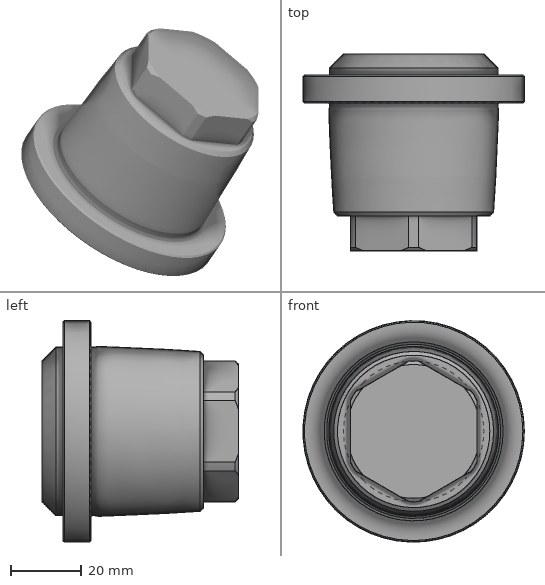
import cadquery as cq
import math

total_length = 56.0
hex_height = 9.95
body_length = total_length - hex_height

spigot_radius = 24.0
spigot_chamfer = 4.05

flange_radius = 31.5
flange_back = 6.0
flange_front = 14.0
flange_chamfer = 0.45

undercut_outer_radius = 25.45
undercut_face_depth = 0.25
undercut_fillet = 0.75
undercut_radius = 24.0
undercut_floor_end = 15.2

taper_start = 16.05
taper_start_radius = 24.2
taper_break = 35.0
taper_break_radius = 23.4
taper_end_radius = 22.75
nose_chamfer = 1.1

hex_across_flats = 36.05
hex_corner_radius = 20.05
hex_chamfer = 1.0


def make_turned_body():
    """Revolve the half profile of spigot, flange, undercut and taper."""
    fillet_centre_radius = undercut_radius + undercut_fillet
    undercut_bottom = flange_front - undercut_face_depth
    fillet_centre = undercut_bottom + undercut_fillet
    fillet_reach = undercut_fillet * math.sin(math.radians(45))
    profile = (
        cq.Workplane("XY")
        .lineTo(spigot_radius - spigot_chamfer, 0)
        .lineTo(spigot_radius, -spigot_chamfer)
        .lineTo(spigot_radius, -flange_back)
        .lineTo(flange_radius - flange_chamfer, -flange_back)
        .lineTo(flange_radius, -flange_back - flange_chamfer)
        .lineTo(flange_radius, -flange_front + flange_chamfer)
        .lineTo(flange_radius - flange_chamfer, -flange_front)
        .lineTo(undercut_outer_radius, -flange_front)
        .lineTo(fillet_centre_radius, -undercut_bottom)
        .threePointArc(
            (fillet_centre_radius - fillet_reach, -fillet_centre + fillet_reach),
            (undercut_radius, -fillet_centre),
        )
        .lineTo(undercut_radius, -undercut_floor_end)
        .lineTo(taper_start_radius, -taper_start)
        .lineTo(taper_break_radius, -taper_break)
        .lineTo(taper_end_radius, -body_length + nose_chamfer)
        .lineTo(taper_end_radius - nose_chamfer, -body_length)
        .lineTo(0, -body_length)
        .close()
    )
    return profile.revolve(360, (0, 0, 0), (0, 1, 0))


def make_hexagon():
    """Hexagon with two flats facing +X and -X, its corners turned and chamfered."""
    across_corners = hex_across_flats / math.cos(math.radians(30))
    prism = (
        cq.Workplane("XZ", origin=(0, -body_length, 0))
        .polygon(6, across_corners)
        .extrude(hex_height)
        .rotate((0, 0, 0), (0, 1, 0), 30)
    )
    turned_envelope = (
        cq.Workplane("XZ", origin=(0, -body_length, 0))
        .circle(hex_corner_radius)
        .extrude(hex_height)
        .faces("<Y")
        .chamfer(hex_chamfer)
    )
    return prism.intersect(turned_envelope)


result = make_turned_body().union(make_hexagon())